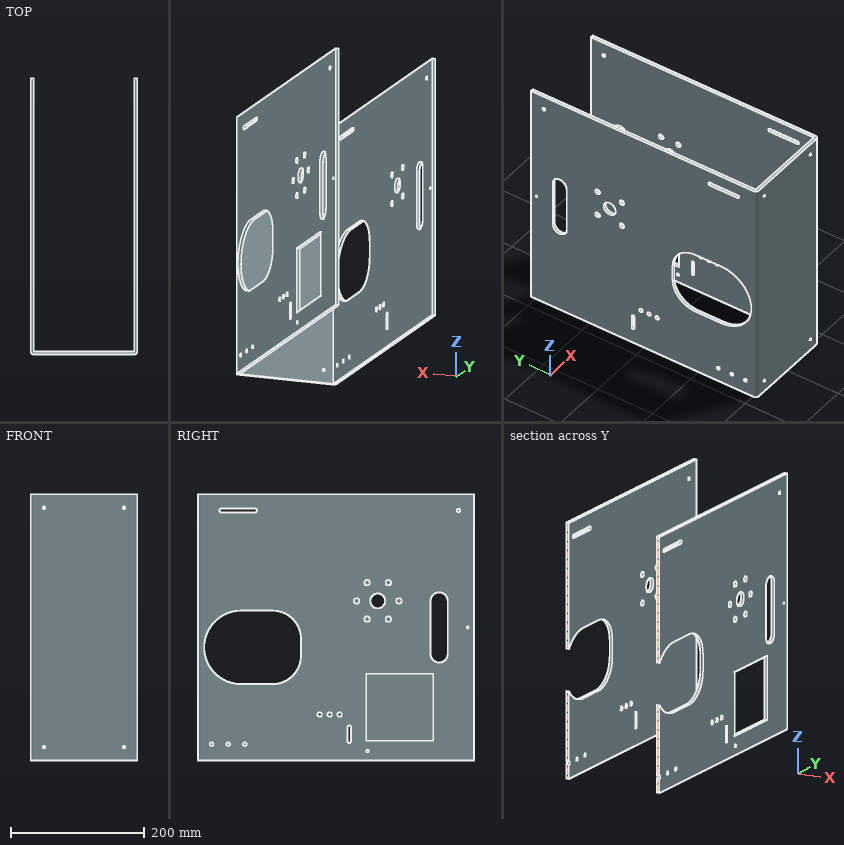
import cadquery as cq
import math

WIDTH = 160.5
DEPTH = 415.0
HEIGHT = 400.0
SHEET = 5.0
BEND_RADIUS = 5.5
BACK = DEPTH
MID_HEIGHT = HEIGHT / 2

FRONT_HOLE_DIAMETER = 3.5
FRONT_HOLE_SPACING_X = 120.0
FRONT_HOLE_EDGE_GAP = 20.5

SMALL_HOLE_DIAMETER = 5.0
CORNER_HOLE_FROM_BACK = 23.5
TOP_ROW_GAP = 24.5
TOP_ROW_Z = HEIGHT - TOP_ROW_GAP

TOP_SLOT_LENGTH = 56.0
TOP_SLOT_WIDTH = 5.5
TOP_SLOT_FROM_BACK = 354.5

HANDLE_LENGTH = 105.0
HANDLE_WIDTH = 25.5
HANDLE_FROM_BACK = 52.5

PIN_HOLE_DIAMETER = 2.5
PIN_HOLE_FROM_BACK = 10.0

SHAFT_HOLE_DIAMETER = 22.0
SHAFT_FROM_BACK = 145.0
SHAFT_Z = 240.0

WINDOW_HEIGHT = 110.0
WINDOW_CORNER_RADIUS = 42.5
WINDOW_STRAIGHT_LENGTH = 90.0
WINDOW_FROM_BACK = 260.0
WINDOW_Z = 170.0

VENT_HOLE_DIAMETER = 6.2
VENT_HOLE_PITCH = 15.0
VENT_FROM_BACK = 217.0
VENT_Z = 69.5

SHORT_SLOT_LENGTH = 26.0
SHORT_SLOT_WIDTH = 5.0
SHORT_SLOT_FROM_BACK = 187.5
SHORT_SLOT_Z = 40.0

FOOT_HOLE_PITCH = 25.0
FOOT_FROM_BACK = 369.5
FOOT_Z = 25.0

SQUARE_SPACING = 45.0
SCREW_HOLE_DIAMETER = 8.5
RING_RADIUS = SQUARE_SPACING / math.sqrt(2)
RING_HOLES = 6

PORT_FRONT_FROM_BACK = 162.0
PORT_LENGTH = 100.0
PORT_BOTTOM_Z = 30.5
PORT_HEIGHT = 100.0
PORT_HOLE_FROM_BACK = 160.0
PORT_HOLE_Z = 14.5
PORT_HOLE_DIAMETER = 4.0

LEFT_WALL = -WIDTH / 2
RIGHT_WALL = WIDTH / 2 - SHEET
BOTH_WALLS = (LEFT_WALL, RIGHT_WALL)


def folded_sheet():
    outer = (
        cq.Workplane("XY")
        .box(WIDTH, DEPTH, HEIGHT, centered=(True, False, False))
        .edges("|Z and <Y")
        .fillet(BEND_RADIUS)
    )
    inner = (
        cq.Workplane("XY")
        .box(WIDTH - 2 * SHEET, DEPTH, HEIGHT, centered=(True, False, False))
        .translate((0, SHEET, 0))
    )
    return outer.cut(inner)


def on_wall(wall_x):
    """Sketch plane on a side wall: local x is Y, local y is Z, extrusion runs through the sheet."""
    return cq.Workplane("YZ", origin=(wall_x, 0, 0))


def wall_holes(walls, places, diameter):
    cutters = cq.Workplane("XY")
    for wall_x in walls:
        cutters = cutters.add(on_wall(wall_x).pushPoints(places).circle(diameter / 2).extrude(SHEET))
    return cutters.combine()


def wall_slots(walls, place, length, width, angle=0):
    cutters = cq.Workplane("XY")
    for wall_x in walls:
        cutters = cutters.add(on_wall(wall_x).center(*place).slot2D(length, width, angle).extrude(SHEET))
    return cutters.combine()


def hole_row(middle_y, z, pitch):
    return [(middle_y + step * pitch, z) for step in (-1, 0, 1)]


def wall_windows():
    """Window with a half-round front end and two rounded rear corners."""
    cutters = cq.Workplane("XY")
    rear_y = BACK - WINDOW_FROM_BACK
    round_y = rear_y - WINDOW_STRAIGHT_LENGTH
    half = WINDOW_HEIGHT / 2
    for wall_x in BOTH_WALLS:
        window = (
            on_wall(wall_x)
            .moveTo(rear_y, WINDOW_Z + half)
            .lineTo(round_y, WINDOW_Z + half)
            .threePointArc((round_y - half, WINDOW_Z), (round_y, WINDOW_Z - half))
            .lineTo(rear_y, WINDOW_Z - half)
            .close()
            .extrude(SHEET)
            .edges("|X and >Y")
            .fillet(WINDOW_CORNER_RADIUS)
        )
        cutters = cutters.add(window)
    return cutters.combine()


def screw_square():
    half = SQUARE_SPACING / 2
    shaft_y = BACK - SHAFT_FROM_BACK
    return [(shaft_y + i * half, SHAFT_Z + j * half) for i in (-1, 1) for j in (-1, 1)]


def screw_ring():
    shaft_y = BACK - SHAFT_FROM_BACK
    angles = [2 * math.pi * i / RING_HOLES for i in range(RING_HOLES)]
    return [(shaft_y + RING_RADIUS * math.cos(a), SHAFT_Z + RING_RADIUS * math.sin(a)) for a in angles]


def port():
    """Rectangular opening of the right wall."""
    return (
        on_wall(RIGHT_WALL)
        .center(BACK - PORT_FRONT_FROM_BACK, PORT_BOTTOM_Z)
        .rect(PORT_LENGTH, PORT_HEIGHT, centered=False)
        .extrude(SHEET)
    )


def front_holes():
    return (
        cq.Workplane("XZ", origin=(0, 0, MID_HEIGHT))
        .rect(FRONT_HOLE_SPACING_X, HEIGHT - 2 * FRONT_HOLE_EDGE_GAP, forConstruction=True)
        .vertices()
        .circle(FRONT_HOLE_DIAMETER / 2)
        .extrude(-SHEET)
    )


result = folded_sheet().cut(front_holes())

corner_hole = [(BACK - CORNER_HOLE_FROM_BACK, TOP_ROW_Z)]
pin_hole = [(BACK - PIN_HOLE_FROM_BACK, MID_HEIGHT)]
shaft_hole = [(BACK - SHAFT_FROM_BACK, SHAFT_Z)]
vent_row = hole_row(BACK - VENT_FROM_BACK, VENT_Z, VENT_HOLE_PITCH)
foot_row = hole_row(BACK - FOOT_FROM_BACK, FOOT_Z, FOOT_HOLE_PITCH)
top_slot = (BACK - TOP_SLOT_FROM_BACK, TOP_ROW_Z)
handle = (BACK - HANDLE_FROM_BACK, MID_HEIGHT)
short_slot = (BACK - SHORT_SLOT_FROM_BACK, SHORT_SLOT_Z)

result = result.cut(wall_holes(BOTH_WALLS, corner_hole + foot_row, SMALL_HOLE_DIAMETER))
result = result.cut(wall_holes(BOTH_WALLS, vent_row, VENT_HOLE_DIAMETER))
result = result.cut(wall_holes(BOTH_WALLS, pin_hole, PIN_HOLE_DIAMETER))
result = result.cut(wall_holes(BOTH_WALLS, shaft_hole, SHAFT_HOLE_DIAMETER))
result = result.cut(wall_slots(BOTH_WALLS, top_slot, TOP_SLOT_LENGTH, TOP_SLOT_WIDTH))
result = result.cut(wall_slots(BOTH_WALLS, handle, HANDLE_LENGTH, HANDLE_WIDTH, 90))
result = result.cut(wall_slots(BOTH_WALLS, short_slot, SHORT_SLOT_LENGTH, SHORT_SLOT_WIDTH, 90))
result = result.cut(wall_windows())

port_hole = [(BACK - PORT_HOLE_FROM_BACK, PORT_HOLE_Z)]
result = result.cut(wall_holes((LEFT_WALL,), screw_square(), SCREW_HOLE_DIAMETER))
result = result.cut(wall_holes((RIGHT_WALL,), screw_ring(), SCREW_HOLE_DIAMETER))
result = result.cut(wall_holes((RIGHT_WALL,), port_hole, PORT_HOLE_DIAMETER))
result = result.cut(port())